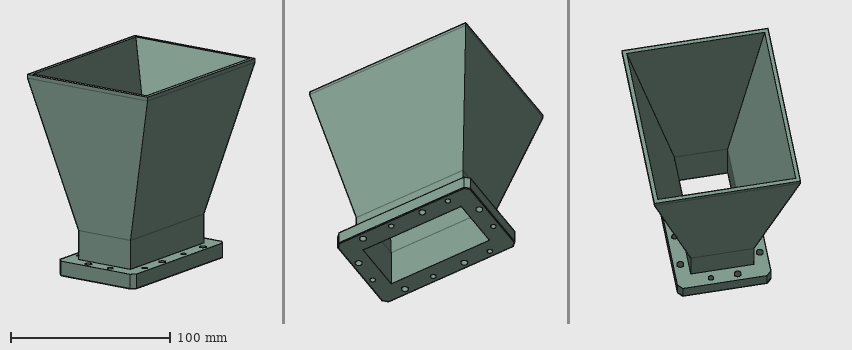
import cadquery as cq

total_height = 130.0
flange_height = 9.8
neck_top = 28.6
rim_height = 2.5
rim_bottom = total_height - rim_height

mouth_x = 93.2
mouth_y = 114.8
mouth_wall = 2.6

bore_x = 34.0
bore_y = 72.2
neck_wall = 3.1
neck_x = bore_x + 2 * neck_wall
neck_y = bore_y + 2 * neck_wall

flange_x = 59.7
flange_y = 97.8
corner_chamfer = 3.0
bottom_chamfer = 0.5

large_hole = 4.3
small_hole = 3.4
long_row_x = 25.4
short_row_y = 44.3
long_row_large_y = (31.1, -12.5)
long_row_small_y = (10.3, -31.3)
short_row_large_x = -8.8
short_row_small_x = 8.2


def block(size_x, size_y, bottom, top):
    """Rectangular block centred on the Z axis."""
    return cq.Workplane("XY").workplane(offset=bottom).rect(size_x, size_y).extrude(top - bottom)


def taper(bottom_x, bottom_y, top_x, top_y, bottom, top):
    """Rectangular frustum centred on the Z axis."""
    return (
        cq.Workplane("XY")
        .workplane(offset=bottom)
        .rect(bottom_x, bottom_y)
        .workplane(offset=top - bottom)
        .rect(top_x, top_y)
        .loft(ruled=True)
    )


def make_flange():
    plate = block(flange_x, flange_y, 0, flange_height)
    return plate.edges("|Z").chamfer(corner_chamfer).faces("<Z").edges().chamfer(bottom_chamfer)


def make_outside():
    neck = block(neck_x, neck_y, 0, neck_top)
    flare = taper(neck_x, neck_y, mouth_x, mouth_y, neck_top, rim_bottom)
    rim = block(mouth_x, mouth_y, rim_bottom, total_height)
    return make_flange().union(neck).union(flare).union(rim)


def make_passage():
    opening_x = mouth_x - 2 * mouth_wall
    opening_y = mouth_y - 2 * mouth_wall
    bore = block(bore_x, bore_y, 0, neck_top)
    flare = taper(bore_x, bore_y, opening_x, opening_y, neck_top, total_height)
    return bore.union(flare)


def make_holes(points, diameter):
    return cq.Workplane("XY").pushPoints(points).circle(diameter / 2).extrude(flange_height)


large_points = []
small_points = []
for side in (-1, 1):
    large_points += [(side * long_row_x, y) for y in long_row_large_y]
    large_points.append((short_row_large_x, side * short_row_y))
    small_points += [(side * long_row_x, y) for y in long_row_small_y]
    small_points.append((short_row_small_x, side * short_row_y))

result = (
    make_outside()
    .cut(make_passage())
    .cut(make_holes(large_points, large_hole))
    .cut(make_holes(small_points, small_hole))
)